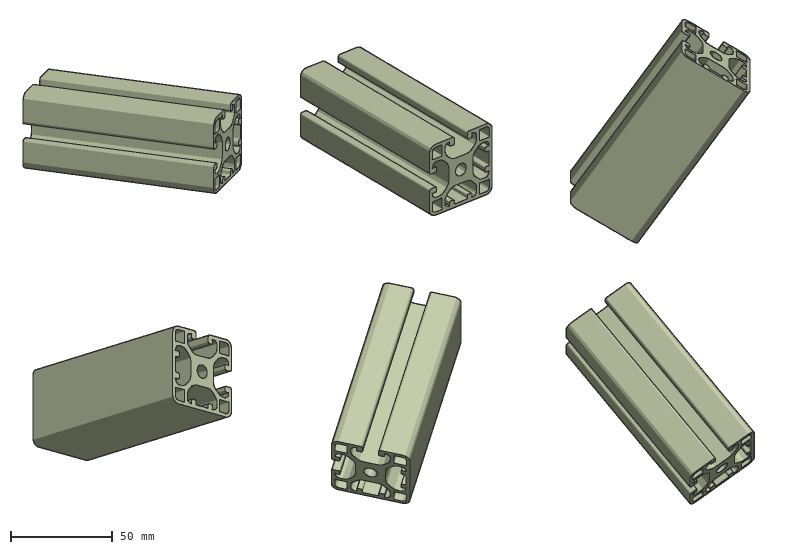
import cadquery as cq

LENGTH = 100.0
SIDE = 40.0
CORNER_RADIUS = 4.0

BORE_DIAMETER = 6.8

CORNER_WALL = 1.8
HOLLOW_SIZE = 6.3
HOLLOW_RADIUS = 0.4

CHANNEL_WALL = 2.0
CHANNEL_HALF_WIDTH = 10.1
FLOOR_HEIGHT = 7.7
FLOOR_BEVEL = 4.5
FLOOR_RADIUS = 5.0
WALL_RADIUS = 5.2
SHOULDER_RADIUS = 2.6

MOUTH_HALF_WIDTH = 4.1
LIP_WIDTH = 3.0
LIP_DEPTH = 4.5
LIP_RADIUS = 0.8
LIP_ROOT_RADIUS = 0.5
MOUTH_RADIUS = 1.4

EDGE_TOLERANCE = 0.1

half_side = SIDE / 2
ceiling_height = half_side - CHANNEL_WALL
lip_centre_y = MOUTH_HALF_WIDTH + LIP_WIDTH / 2
lip_centre_z = half_side - LIP_DEPTH / 2


def prism(sketch):
    """Extrude a YZ sketch over the whole length, centred on the origin."""
    return sketch.extrude(LENGTH / 2, both=True)


def section():
    """Start a sketch on the cross-section plane: local axes are Y and Z."""
    return cq.Workplane("YZ")


def body():
    """Solid bar with rounded long edges."""
    return prism(section().rect(SIDE, SIDE)).edges("|X").fillet(CORNER_RADIUS)


def corner_hollow():
    """Hollow in the +Y +Z corner."""
    centre = half_side - CORNER_WALL - HOLLOW_SIZE / 2
    hollow = prism(section().center(centre, centre).rect(HOLLOW_SIZE, HOLLOW_SIZE))
    hollow = hollow.edges("|X and (<Y or <Z)").fillet(HOLLOW_RADIUS)
    return hollow.edges("|X and >Y").edges(">Z").fillet(CORNER_RADIUS - CORNER_WALL)


def channel_chamber():
    """Chamber of the channel, with bevelled floor corners and rounded shoulders."""
    floor_half_width = CHANNEL_HALF_WIDTH - FLOOR_BEVEL
    bevel_top = FLOOR_HEIGHT + FLOOR_BEVEL
    outline = [
        (floor_half_width, FLOOR_HEIGHT),
        (CHANNEL_HALF_WIDTH, bevel_top),
        (CHANNEL_HALF_WIDTH, ceiling_height),
        (-CHANNEL_HALF_WIDTH, ceiling_height),
        (-CHANNEL_HALF_WIDTH, bevel_top),
        (-floor_half_width, FLOOR_HEIGHT),
    ]
    chamber = prism(section().polyline(outline).close())
    chamber = chamber.edges("|X and >Z").fillet(SHOULDER_RADIUS)
    chamber = chamber.edges("|X and <Z").fillet(FLOOR_RADIUS)
    wall_edges = cq.selectors.BoxSelector(
        (-LENGTH, -SIDE, bevel_top - EDGE_TOLERANCE),
        (LENGTH, SIDE, bevel_top + EDGE_TOLERANCE),
    )
    return chamber.edges("|X").edges(wall_edges).fillet(WALL_RADIUS)


def lip(side):
    """Lip on the given side (+1 or -1) of the mouth, with a rounded tip."""
    block = section().center(side * lip_centre_y, lip_centre_z).rect(LIP_WIDTH, LIP_DEPTH)
    return prism(block).edges("|X and <Z").fillet(LIP_RADIUS)


def lipped_chamber():
    """Chamber with the two lips left standing in it."""
    return channel_chamber().cut(lip(1)).cut(lip(-1))


def closed_channel():
    """Chamber behind an unbroken outer wall, rounded where the lips rise from the wall."""
    root_edges = cq.selectors.BoxSelector(
        (-LENGTH, -MOUTH_HALF_WIDTH - EDGE_TOLERANCE, ceiling_height - EDGE_TOLERANCE),
        (LENGTH, MOUTH_HALF_WIDTH + EDGE_TOLERANCE, ceiling_height + EDGE_TOLERANCE),
    )
    return lipped_chamber().edges("|X").edges(root_edges).fillet(LIP_ROOT_RADIUS)


def mouth_rounding(side):
    """Material removed to round the outer edge of the mouth on one side."""
    centre_y = side * (MOUTH_HALF_WIDTH + MOUTH_RADIUS)
    centre_z = half_side - MOUTH_RADIUS
    block = section().center(side * MOUTH_HALF_WIDTH, half_side).rect(2 * MOUTH_RADIUS, 2 * MOUTH_RADIUS)
    round_edge = section().center(centre_y, centre_z).circle(MOUTH_RADIUS)
    return prism(block).cut(prism(round_edge))


def open_channel():
    """Chamber plus the mouth that opens it to the outside."""
    mouth = prism(section().center(0, lip_centre_z).rect(2 * MOUTH_HALF_WIDTH, LIP_DEPTH))
    return lipped_chamber().union(mouth).union(mouth_rounding(1)).union(mouth_rounding(-1))


def turned(shape, angle):
    """Turn a shape about the long axis of the bar."""
    return shape.rotate((0, 0, 0), (1, 0, 0), angle)


result = body().cut(prism(section().circle(BORE_DIAMETER / 2)))

for angle in (0, 90, 180, 270):
    result = result.cut(turned(corner_hollow(), angle))

for angle in (0, 90):
    result = result.cut(turned(open_channel(), angle))
for angle in (180, 270):
    result = result.cut(turned(closed_channel(), angle))